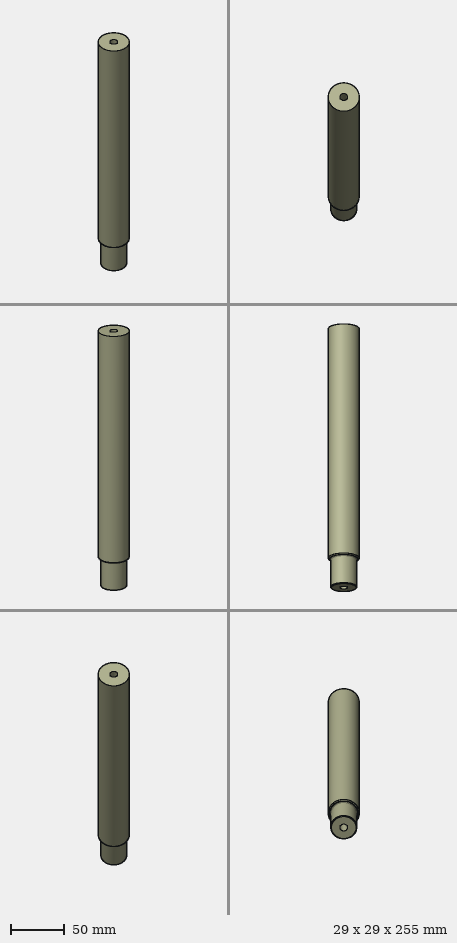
import cadquery as cq

total_length = 255.0
rod_diameter = 29.0
bore_diameter = 7.1

spigot_diameter = 24.5
spigot_length = 28.0

rod_chamfer = 1.0
spigot_chamfer = 0.8
shoulder_fillet = 0.8

bore_radius = bore_diameter / 2
rod_radius = rod_diameter / 2
spigot_radius = spigot_diameter / 2
bottom_z = -total_length / 2
shoulder_z = bottom_z + spigot_length
top_z = bottom_z + total_length


def make_rod():
    """Long bored rod with a chamfered lower outer edge, resting on the spigot."""
    profile = (
        cq.Workplane("XZ")
        .moveTo(bore_radius, shoulder_z)
        .lineTo(rod_radius - rod_chamfer, shoulder_z)
        .lineTo(rod_radius, shoulder_z + rod_chamfer)
        .lineTo(rod_radius, top_z)
        .lineTo(bore_radius, top_z)
        .close()
    )
    return profile.revolve(360, (0, 0, 0), (0, 1, 0))


def make_spigot():
    """Bored spigot, chamfered at its tip and flared by a concave fillet under the rod."""
    profile = (
        cq.Workplane("XZ")
        .moveTo(bore_radius, bottom_z)
        .lineTo(spigot_radius - spigot_chamfer, bottom_z)
        .lineTo(spigot_radius, bottom_z + spigot_chamfer)
        .lineTo(spigot_radius, shoulder_z - shoulder_fillet)
        .radiusArc((spigot_radius + shoulder_fillet, shoulder_z), shoulder_fillet)
        .lineTo(bore_radius, shoulder_z)
        .close()
    )
    return profile.revolve(360, (0, 0, 0), (0, 1, 0))


rod = make_rod()
spigot = make_spigot()

result = cq.Compound.makeCompound([rod.val(), spigot.val()])